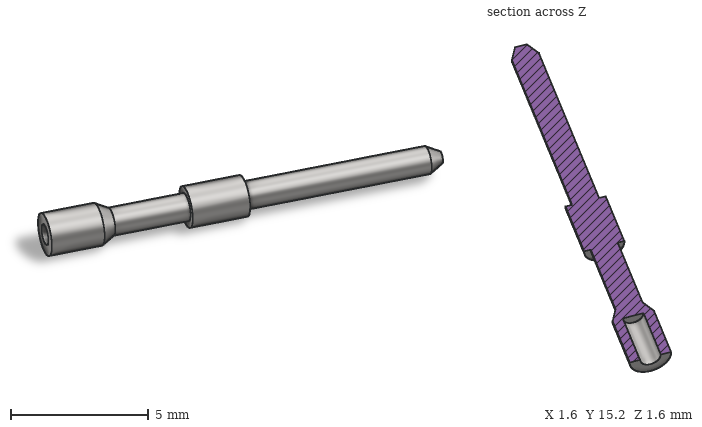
import cadquery as cq

total_length = 15.24
barrel_length = 2.03
shoulder_length = 0.5
collar_start = 5.43
collar_length = 2.21
tip_length = 0.53

barrel_diameter = 1.6
shaft_diameter = 1.05
collar_diameter = 1.55
tip_diameter = 0.45

bore_diameter = 0.78
bore_depth = barrel_length

open_end = -total_length / 2
tip_end = total_length / 2


def cylinder(start, length, diameter):
    """Cylinder along +Y beginning at the given Y position."""
    base = cq.Workplane("XZ", origin=(0, start, 0))
    return base.circle(diameter / 2).extrude(-length)


def turned_body():
    """Barrel, conical shoulder, shaft and conical tip as one revolved half-profile."""
    barrel_end = open_end + barrel_length
    return (
        cq.Workplane("XY")
        .moveTo(0, open_end)
        .lineTo(barrel_diameter / 2, open_end)
        .lineTo(barrel_diameter / 2, barrel_end)
        .lineTo(shaft_diameter / 2, barrel_end + shoulder_length)
        .lineTo(shaft_diameter / 2, tip_end - tip_length)
        .lineTo(tip_diameter / 2, tip_end)
        .lineTo(0, tip_end)
        .close()
        .revolve(360, (0, 0, 0), (0, 1, 0))
    )


collar = cylinder(open_end + collar_start, collar_length, collar_diameter)
bore = cylinder(open_end, bore_depth, bore_diameter)

result = turned_body().union(collar).cut(bore)